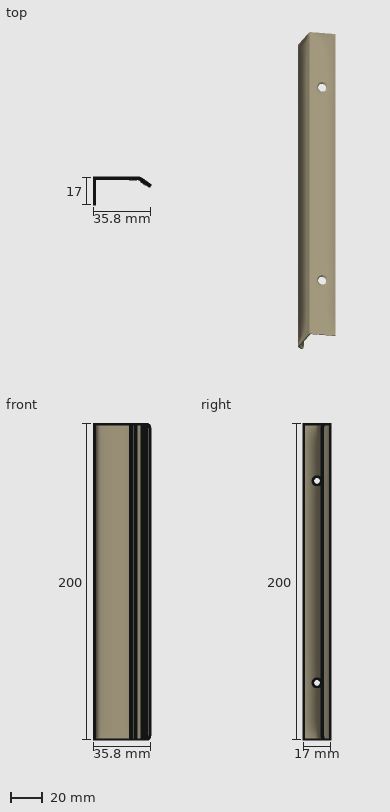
import cadquery as cq
import math

length = 200.0
width = 35.8
leg_depth = 17.0
wall = 0.915

bend_corner = 28.99
bend_outer_radius = 4.6
bend_inner_radius = 4.95
lip_angle = 35.5
lip_corner_radius = 3.0

rib_count = 3
rib_width = 1.412
rib_height = 0.44
web_rib_start = 22.83
lip_rib_start = 0.41

hole_diameter = 5.2
countersink_diameter = 6.8
countersink_angle = 90.0
hole_spacing = 128.0

lip_sin = math.sin(math.radians(lip_angle))
lip_cos = math.cos(math.radians(lip_angle))
along_web = (1.0, 0.0)
inward_web = (0.0, -1.0)
along_lip = (lip_cos, -lip_sin)
inward_lip = (-lip_sin, -lip_cos)


def shifted(point, direction, distance):
    return (point[0] + direction[0] * distance, point[1] + direction[1] * distance)


def bend_arc(corner, radius):
    """Start, middle and end of the arc that rounds a corner between the web and the lip."""
    half_angle = math.radians(lip_angle / 2)
    tangent_length = radius * math.tan(half_angle)
    start = shifted(corner, along_web, -tangent_length)
    middle_x = start[0] + radius * math.sin(half_angle)
    middle_y = start[1] - radius * (1 - math.cos(half_angle))
    end = shifted(corner, along_lip, tangent_length)
    return start, (middle_x, middle_y), end


def add_ribs(outline, start, along, inward):
    """Draw a row of arched ribs, from its far end back to its start."""
    row_end = shifted(start, along, rib_count * rib_width)
    outline = outline.lineTo(*row_end)
    for index in reversed(range(rib_count)):
        rib_end = shifted(start, along, index * rib_width)
        crest = shifted(shifted(rib_end, along, rib_width / 2), inward, rib_height)
        outline = outline.threePointArc(crest, rib_end)
    return outline


def make_section():
    """Closed outline of the angle, its bent lip and its ribs, in the XY plane."""
    inner_corner_x = bend_corner - wall * math.tan(math.radians(lip_angle / 2))
    outer_start, outer_middle, outer_end = bend_arc((bend_corner, 0), bend_outer_radius)
    inner_start, inner_middle, inner_end = bend_arc((inner_corner_x, -wall), bend_inner_radius)
    lip_length = (width - outer_end[0]) / lip_cos
    outer_tip = shifted(outer_end, along_lip, lip_length)
    inner_tip = shifted(outer_tip, inward_lip, wall)

    outline = cq.Workplane("XY").moveTo(0, 0).lineTo(*outer_start)
    outline = outline.threePointArc(outer_middle, outer_end)
    outline = outline.lineTo(*outer_tip).lineTo(*inner_tip)
    outline = add_ribs(outline, shifted(inner_end, along_lip, lip_rib_start), along_lip, inward_lip)
    outline = outline.lineTo(*inner_end)
    outline = outline.threePointArc(inner_middle, inner_start)
    outline = add_ribs(outline, (web_rib_start, -wall), along_web, inward_web)
    return outline.lineTo(wall, -wall).lineTo(wall, -leg_depth).lineTo(0, -leg_depth).close()


def round_lip_corners(body):
    """Round the two corners of the lip's free edge, in the plane of the lip."""
    return body.faces(">X").edges("not |Z").fillet(lip_corner_radius)


def cut_screw_holes(body):
    """Drill the leg and countersink each hole from its outer face."""
    centers = [(-leg_depth / 2, length / 2 + side * hole_spacing / 2) for side in (-1, 1)]
    leg_face = cq.Workplane("YZ").pushPoints(centers)
    drill = leg_face.circle(hole_diameter / 2).extrude(wall)
    sink_depth = (countersink_diameter - hole_diameter) / 2 / math.tan(math.radians(countersink_angle / 2))
    sink = leg_face.circle(countersink_diameter / 2).extrude(sink_depth, taper=countersink_angle / 2)
    return body.cut(drill).cut(sink)


result = cut_screw_holes(round_lip_corners(make_section().extrude(length)))